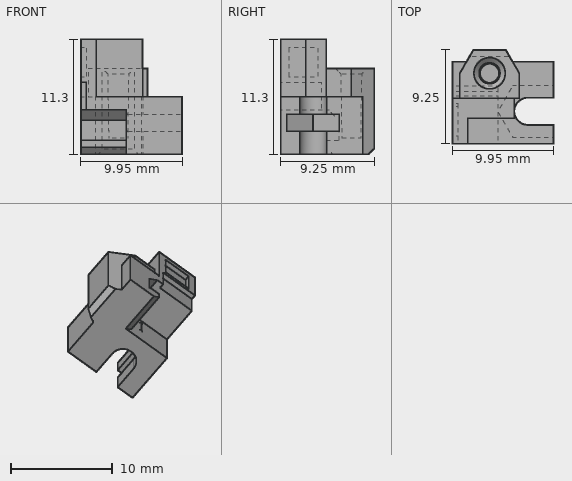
import cadquery as cq
import math


base_length = 9.95
base_depth = 8.1
base_height = 5.7

total_height = 11.35
wall_length = 6.08
wall_front = 2.5
wall_back = 4.51
wall_end_thickness = 1.5

boss_center_x = 3.65
boss_width = 5.83
boss_back_width = 3.21
boss_front = 4.48
boss_shoulder = 6.96
boss_back = 9.25
boss_height = 8.47
boss_chamfer_depth = 0.61
boss_chamfer_height = 0.58

hole_center_y = 6.95
countersink_radius = 1.54
hole_top_radius = 1.03
hole_bottom_radius = 0.93
hole_depth = 6.81

channel_length = 4.46
channel_height = 4.38
channel_top_depth = 4.73
channel_depth = 5.73
channel_slope_start = 3.38
lip_height = 1.42
lip_front = 4.51
lip_bevel_height = 0.69
lip_bevel_depth = 5.18

slot_center_x = 7.42
slot_center_y = 3.2
slot_width = 2.66
nut_width = 5.14
nut_bottom = 2.29
nut_top = 3.97

recess_depth = 0.5
square_recess_size = 2.88
square_recess_front = 0.81
square_recess_bottom = 7.66
label_recess_width = 4.01
label_recess_top = 7.12


def box(x_range, y_range, z_range):
    """Axis-aligned block between the given limits."""
    lengths = [high - low for low, high in (x_range, y_range, z_range)]
    corner = (x_range[0], y_range[0], z_range[0])
    return cq.Workplane("XY").box(*lengths, centered=False).translate(corner)


def make_wall():
    bottom = base_height
    outline = [
        (0, 0),
        (wall_end_thickness, 0),
        (wall_end_thickness, wall_front),
        (wall_length, wall_front),
        (wall_length, wall_back),
        (0, wall_back),
    ]
    wall = cq.Workplane("XY").workplane(offset=bottom).polyline(outline).close()
    return wall.extrude(total_height - bottom)


def make_boss():
    half_front = boss_width / 2
    half_back = boss_back_width / 2
    outline = [
        (boss_center_x - half_front, boss_front),
        (boss_center_x + half_front, boss_front),
        (boss_center_x + half_front, boss_shoulder),
        (boss_center_x + half_back, boss_back),
        (boss_center_x - half_back, boss_back),
        (boss_center_x - half_front, boss_shoulder),
    ]
    boss = cq.Workplane("XY").polyline(outline).close().extrude(boss_height)
    chamfer = (
        cq.Workplane("YZ")
        .polyline([(boss_back, 0), (boss_back, boss_chamfer_height), (boss_back - boss_chamfer_depth, 0)])
        .close()
        .extrude(base_length)
    )
    return boss.cut(chamfer)


def make_screw_hole():
    """Half profile in the XZ plane, revolved about the hole axis."""
    floor = boss_height - hole_depth
    countersink_bottom = boss_height - (countersink_radius - hole_top_radius)
    profile = [
        (0, floor),
        (hole_bottom_radius, floor),
        (hole_top_radius, countersink_bottom),
        (countersink_radius, boss_height),
        (0, boss_height),
    ]
    hole = cq.Workplane("XZ").polyline(profile).close().revolve(360, (0, 0), (0, 1))
    return hole.translate((boss_center_x, hole_center_y, 0))


def make_channel():
    profile = [
        (0, 0),
        (lip_bevel_depth, 0),
        (lip_front, lip_bevel_height),
        (lip_front, lip_height),
        (channel_depth, lip_height),
        (channel_depth, channel_slope_start),
        (channel_top_depth, channel_height),
        (0, channel_height),
    ]
    return cq.Workplane("YZ").polyline(profile).close().extrude(channel_length)


def make_slot():
    half_width = slot_width / 2
    slot = (
        cq.Workplane("XY")
        .center(slot_center_x, slot_center_y)
        .circle(half_width)
        .extrude(base_height)
    )
    y_range = (slot_center_y - half_width, slot_center_y + half_width)
    return slot.union(box((slot_center_x, base_length), y_range, (0, base_height)))


def make_nut_pocket():
    """Hexagon with a corner towards the channel, carried out to the +X face."""
    half_width = nut_width / 2
    across_corners = nut_width / math.cos(math.radians(30))
    pocket = (
        cq.Workplane("XY")
        .workplane(offset=nut_bottom)
        .center(slot_center_x, slot_center_y)
        .polygon(6, across_corners)
        .extrude(nut_top - nut_bottom)
    )
    y_range = (slot_center_y - half_width, slot_center_y + half_width)
    return pocket.union(box((slot_center_x, base_length), y_range, (nut_bottom, nut_top)))


def make_face_recesses():
    square = box(
        (0, recess_depth),
        (square_recess_front, square_recess_front + square_recess_size),
        (square_recess_bottom, square_recess_bottom + square_recess_size),
    )
    label = box((0, recess_depth), (0, label_recess_width), (channel_height, label_recess_top))
    return square.union(label)


body = box((0, base_length), (0, base_depth), (0, base_height))
body = body.union(make_wall()).union(make_boss())

body = body.cut(make_slot()).cut(make_nut_pocket())

body = body.cut(make_channel()).cut(make_screw_hole()).cut(make_face_recesses())

result = body